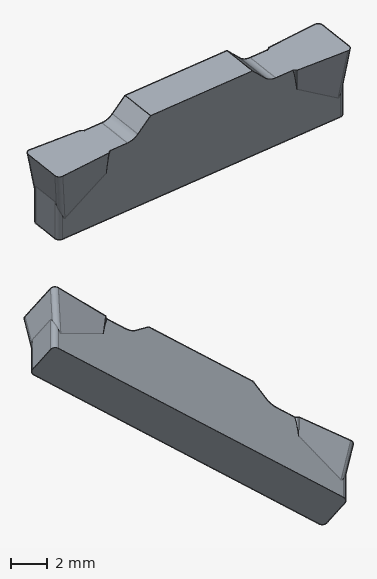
import cadquery as cq
import math

length = 20.07
head_width = 3.05
height = 5.76
cutting_height = 4.6

body_width = 2.35
body_length = 19.55
body_corner_radius = 0.3
crown_length = 6.95
ramp_radius = 1.0

corner_radius = 0.3
back_taper = 0.065
side_relief = 0.1
end_relief = 0.125
back_relief = 0.05
head_length = 3.61
blend_radius = 0.25
head_bottom = 0.8
core_half_width = 0.4


def make_body():
    """Bar with rounded vertical corners and a raised crown with 45 degree ramps."""
    half_length = body_length / 2
    half_crown = crown_length / 2
    ramp_foot = half_crown + height - cutting_height
    bar = (
        cq.Workplane("XY")
        .rect(body_width, body_length)
        .extrude(cutting_height)
        .edges("|Z")
        .fillet(body_corner_radius)
    )
    core_end = half_length - body_corner_radius
    crown = (
        cq.Workplane("YZ")
        .moveTo(-core_end, 0)
        .lineTo(core_end, 0)
        .lineTo(core_end, cutting_height)
        .lineTo(ramp_foot, cutting_height)
        .lineTo(half_crown, height)
        .lineTo(-half_crown, height)
        .lineTo(-ramp_foot, cutting_height)
        .lineTo(-core_end, cutting_height)
        .close()
        .extrude(body_width / 2, both=True)
    )
    foot_size = 0.02
    for side in (-1, 1):
        foot = cq.selectors.BoxSelector(
            (-foot_size, side * ramp_foot - foot_size, cutting_height - foot_size),
            (foot_size, side * ramp_foot + foot_size, cutting_height + foot_size),
        )
        crown = crown.edges(foot).fillet(ramp_radius)
    return bar.union(crown)


def head_section(z):
    """Horizontal section of the +Y head at height z, as a closed wire."""
    drop = cutting_height - z
    end_y = length / 2 - end_relief * drop
    back_y = length / 2 - head_length + back_relief * drop

    widest_y = length / 2 - corner_radius

    def side_x(y):
        return head_width / 2 - back_taper * (widest_y - y) - side_relief * drop

    taper_angle = math.atan(back_taper)
    center_y = end_y - corner_radius
    center_x = side_x(center_y) - corner_radius / math.cos(taper_angle)

    def arc_point(angle):
        return (
            center_x + corner_radius * math.cos(angle),
            center_y + corner_radius * math.sin(angle),
        )

    side_tangent = arc_point(-taper_angle)
    arc_middle = arc_point((math.pi / 2 - taper_angle) / 2)
    end_tangent = arc_point(math.pi / 2)
    back_x = side_x(back_y)

    shoulder_step = side_x(length / 2 - head_length) + side_relief * drop - body_width / 2
    arc_step = blend_radius * (1 - math.cos(math.pi / 4))
    flat_step = shoulder_step - arc_step
    blend_start = (back_x - flat_step, back_y - flat_step)
    core_y = blend_start[1] - blend_radius * math.sin(math.pi / 4)
    blend_end = (back_x - shoulder_step, core_y)
    blend_middle = (
        blend_end[0] + blend_radius * (1 - math.cos(math.pi / 8)),
        core_y + blend_radius * math.sin(math.pi / 8),
    )

    def mirrored(point):
        return (-point[0], point[1])

    return (
        cq.Workplane("XY", origin=(0, 0, z))
        .moveTo(core_half_width, core_y)
        .lineTo(*blend_end)
        .threePointArc(blend_middle, blend_start)
        .lineTo(back_x, back_y)
        .lineTo(*side_tangent)
        .threePointArc(arc_middle, end_tangent)
        .lineTo(*mirrored(end_tangent))
        .threePointArc(mirrored(arc_middle), mirrored(side_tangent))
        .lineTo(-back_x, back_y)
        .lineTo(*mirrored(blend_start))
        .threePointArc(mirrored(blend_middle), mirrored(blend_end))
        .lineTo(-core_half_width, core_y)
        .close()
        .wire()
        .val()
    )


def make_head():
    """Relieved cutting head at the +Y end."""
    sections = [head_section(head_bottom), head_section(cutting_height)]
    return cq.Workplane(cq.Solid.makeLoft(sections, True))


head = make_head()
opposite_head = head.mirror("XZ")
result = make_body().union(head).union(opposite_head).clean()